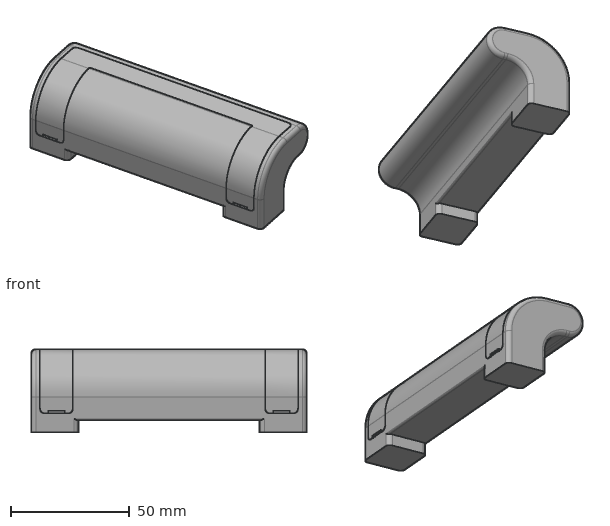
import cadquery as cq
import math

LENGTH = 116.0
HEIGHT = 35.0
DEPTH = 38.0

LEG_THICKNESS = 19.1
OUTER_RADIUS = 20.0
INNER_RADIUS = 10.0
NOSE_RADIUS = 7.5
EDGE_FILLET = 2.0

FOOT_LENGTH = 20.0
GAP_HEIGHT = 5.1
GAP_FILLET = 0.7

COVER_THICKNESS = 2.0
COVER_END_MARGIN = 3.7
COVER_LEG_WIDTH = 13.8
COVER_LEG_BOTTOM = 8.0
COVER_CORNER_RADIUS = 2.0
COVER_FRONT_EDGE = 20.6

NOTCH_WIDTH = 7.0
NOTCH_HEIGHT = 1.0

GAP_LENGTH = LENGTH - 2 * FOOT_LENGTH
OUTER_ARC_START = HEIGHT - OUTER_RADIUS
OUTER_CENTRE = (OUTER_RADIUS, OUTER_ARC_START)
NOSE_CENTRE_Y = DEPTH - NOSE_RADIUS
COVER_LENGTH = LENGTH - 2 * COVER_END_MARGIN
COVER_LEG_X = (COVER_LENGTH - COVER_LEG_WIDTH) / 2
COVER_OPENING = COVER_LENGTH - 2 * COVER_LEG_WIDTH

DIAGONAL = math.sqrt(0.5)

TOLERANCE = 0.1


def arc_middle(centre, radius):
    """Point halfway along the upper quarter arc on the front of a circle, as (y, z)."""
    return centre[0] - radius * DIAGONAL, centre[1] + radius * DIAGONAL


def grip_block():
    """Full-length extrusion of the bent cross-section, standing on z = 0."""
    nose_bottom = HEIGHT - 2 * NOSE_RADIUS
    inner_centre = (LEG_THICKNESS + INNER_RADIUS, nose_bottom - INNER_RADIUS)
    return (
        cq.Workplane("YZ", origin=(-LENGTH / 2, 0, 0))
        .moveTo(0, 0)
        .lineTo(0, OUTER_ARC_START)
        .threePointArc(arc_middle(OUTER_CENTRE, OUTER_RADIUS), (OUTER_RADIUS, HEIGHT))
        .lineTo(NOSE_CENTRE_Y, HEIGHT)
        .threePointArc((DEPTH, HEIGHT - NOSE_RADIUS), (NOSE_CENTRE_Y, nose_bottom))
        .lineTo(inner_centre[0], nose_bottom)
        .threePointArc(arc_middle(inner_centre, INNER_RADIUS), (LEG_THICKNESS, inner_centre[1]))
        .lineTo(LEG_THICKNESS, 0)
        .close()
        .extrude(LENGTH)
        .faces("<X or >X")
        .edges("not <Z")
        .fillet(EDGE_FILLET)
    )


def edges_along(body, direction, x_limit, z_limits):
    """Edges parallel to a direction whose centres lie within x_limit of the middle and between z_limits."""
    box = cq.selectors.BoxSelector(
        (-x_limit - TOLERANCE, -TOLERANCE, z_limits[0] - TOLERANCE),
        (x_limit + TOLERANCE, LEG_THICKNESS + TOLERANCE, z_limits[1] + TOLERANCE),
    )
    return body.edges(f"|{direction}").edges(box)


def cut_gap(body):
    """Open the gap between the feet and round its long edges and the inner edges of the feet."""
    gap = cq.Workplane("XY").box(GAP_LENGTH, DEPTH, GAP_HEIGHT, centered=(True, False, False))
    body = body.cut(gap)
    body = edges_along(body, "Z", GAP_LENGTH / 2, (0, GAP_HEIGHT)).fillet(EDGE_FILLET)
    return edges_along(body, "X", GAP_LENGTH / 2, (GAP_HEIGHT, GAP_HEIGHT)).fillet(GAP_FILLET)


def cover_blank():
    """Rounded strip that follows the front and the top, with a wide opening between its two legs."""
    inner_radius = OUTER_RADIUS - COVER_THICKNESS
    blank = (
        cq.Workplane("YZ", origin=(-COVER_LENGTH / 2, 0, 0))
        .moveTo(0, COVER_LEG_BOTTOM)
        .lineTo(0, OUTER_ARC_START)
        .threePointArc(arc_middle(OUTER_CENTRE, OUTER_RADIUS), (OUTER_RADIUS, HEIGHT))
        .lineTo(NOSE_CENTRE_Y, HEIGHT)
        .lineTo(NOSE_CENTRE_Y, HEIGHT - COVER_THICKNESS)
        .lineTo(OUTER_RADIUS, HEIGHT - COVER_THICKNESS)
        .threePointArc(arc_middle(OUTER_CENTRE, inner_radius), (COVER_THICKNESS, OUTER_ARC_START))
        .lineTo(COVER_THICKNESS, COVER_LEG_BOTTOM)
        .close()
        .extrude(COVER_LENGTH)
    )
    opening = cq.Workplane("XY").box(
        COVER_OPENING, COVER_FRONT_EDGE, HEIGHT, centered=(True, False, False)
    )
    blank = blank.cut(opening)
    blank = blank.faces("<Z").edges("|Y").fillet(COVER_CORNER_RADIUS)
    return blank.faces(">Y").edges("|Z").fillet(COVER_CORNER_RADIUS)


def pry_notches():
    """One block for each cover leg, open at the tip of the leg and through its thickness."""
    return (
        cq.Workplane("XY", origin=(0, 0, COVER_LEG_BOTTOM))
        .pushPoints([(-COVER_LEG_X, 0), (COVER_LEG_X, 0)])
        .box(NOTCH_WIDTH, COVER_THICKNESS, NOTCH_HEIGHT, centered=(True, False, False))
    )


blank = cover_blank()
housing = cut_gap(grip_block()).cut(blank)
cover = blank.cut(pry_notches())

result = cq.Compound.makeCompound([housing.solids().val(), cover.solids().val()])